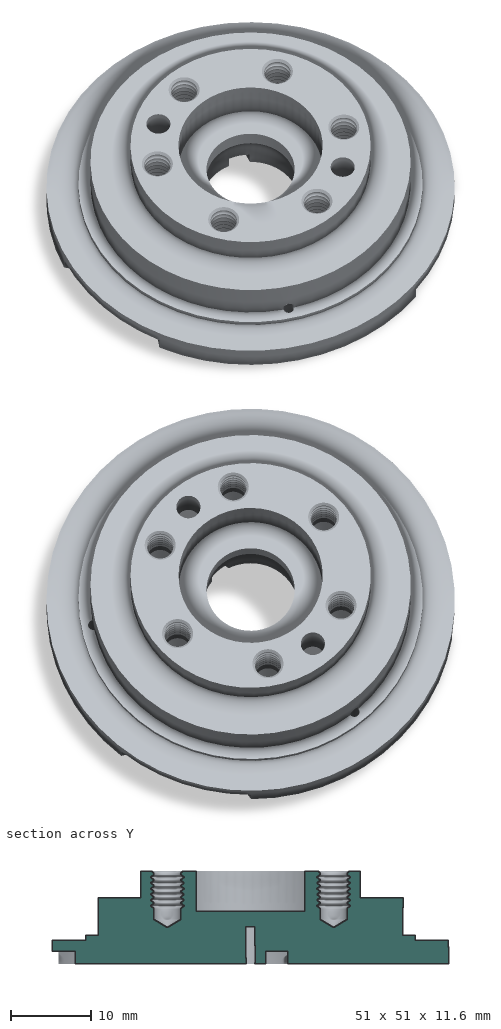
import cadquery as cq
import math

flange_diameter = 51.0
flange_top = 2.95
step_diameter = 43.0
step_top = 3.55
body_diameter = 40.0
body_top = 8.25
hub_diameter = 30.0
hub_top = 11.6

recess_diameter = 18.0
recess_depth = 5.0
throat_diameter = 11.0
throat_length = 2.0
relief_diameter = 12.0

pad_count = 3
pad_height = 1.55
pad_circle_radius = body_diameter / 2
pad_diameter = 33.0
first_pad_angle = 60

vent_diameter = 1.3
vent_count = 3
first_vent_angle = 60
vent_circle_radius = body_diameter / 2
vent_straight_depth = 4.25
drill_point_angle = 118

bolt_circle_radius = 12.0
thread_count = 6
first_thread_angle = 30
tap_diameter = 3.3
tap_depth = 6.0
thread_major_diameter = 4.15
thread_pitch = 0.7
thread_groove_count = 6
first_groove_depth = 0.75
groove_half_width = 0.3
thread_mouth_diameter = 3.9
dowel_count = 2
first_dowel_angle = 0
dowel_diameter = 3.0
dowel_depth = 5.0


def disc(diameter, bottom, top):
    """Cylinder on the Z axis between two heights."""
    return cq.Workplane("XY").workplane(offset=bottom).circle(diameter / 2).extrude(top - bottom)


def polar_copies(shape, radius, start_angle, count):
    """Copies of a shape evenly spaced on a circle about the Z axis."""
    moved = shape.translate((radius, 0, 0))
    return [moved.rotate((0, 0, 0), (0, 0, 1), start_angle + i * 360 / count) for i in range(count)]


def drill_point_length(diameter):
    """Height of the cone left by a drill point."""
    return diameter / 2 / math.tan(math.radians(drill_point_angle / 2))


def make_stepped_body():
    """Four stacked discs; the flange underside is relieved except for the pads."""
    body = disc(flange_diameter, pad_height, flange_top)
    body = body.union(disc(step_diameter, flange_top, step_top))
    body = body.union(disc(body_diameter, step_top, body_top))
    body = body.union(disc(hub_diameter, body_top, hub_top))
    rim = disc(flange_diameter, 0, pad_height)
    pad = disc(pad_diameter, 0, pad_height)
    for placed in polar_copies(pad, pad_circle_radius, first_pad_angle, pad_count):
        body = body.union(rim.intersect(placed))
    return body


def make_bore():
    """Recess, throat and relief along the Z axis."""
    recess_floor = hub_top - recess_depth
    throat_bottom = recess_floor - throat_length
    bore = disc(recess_diameter, recess_floor, hub_top)
    bore = bore.union(disc(throat_diameter, throat_bottom, recess_floor))
    return bore.union(disc(relief_diameter, 0, throat_bottom))


def turned(profile):
    """Solid of revolution about the Z axis from (radius, height) points."""
    return cq.Workplane("XZ").polyline(profile).close().revolve(360, (0, 0), (0, 1))


def make_vent():
    """Drilled hole from the underside with a conical end."""
    radius = vent_diameter / 2
    tip = vent_straight_depth + drill_point_length(vent_diameter)
    profile = [(0, 0), (radius, 0), (radius, vent_straight_depth), (0, tip)]
    return turned(profile)


def make_threaded_hole():
    """Tapped hole with a countersunk mouth; the thread is a stack of V grooves."""
    minor = tap_diameter / 2
    major = thread_major_diameter / 2
    mouth = thread_mouth_diameter / 2
    floor = hub_top - tap_depth
    profile = [(0, hub_top), (mouth, hub_top), (minor, hub_top - (mouth - minor))]
    for i in range(thread_groove_count):
        groove = hub_top - first_groove_depth - i * thread_pitch
        profile += [(minor, groove + groove_half_width), (major, groove), (minor, groove - groove_half_width)]
    profile += [(minor, floor), (0, floor - drill_point_length(tap_diameter))]
    return turned(profile)


def cut_all(part, cutters):
    """Remove each cutter from the part in turn."""
    for cutter in cutters:
        part = part.cut(cutter)
    return part


vents = polar_copies(make_vent(), vent_circle_radius, first_vent_angle, vent_count)
threaded_holes = polar_copies(make_threaded_hole(), bolt_circle_radius, first_thread_angle, thread_count)
dowel_hole = disc(dowel_diameter, hub_top - dowel_depth, hub_top)
dowel_holes = polar_copies(dowel_hole, bolt_circle_radius, first_dowel_angle, dowel_count)

result = make_stepped_body().cut(make_bore())
result = cut_all(result, vents + threaded_holes + dowel_holes)